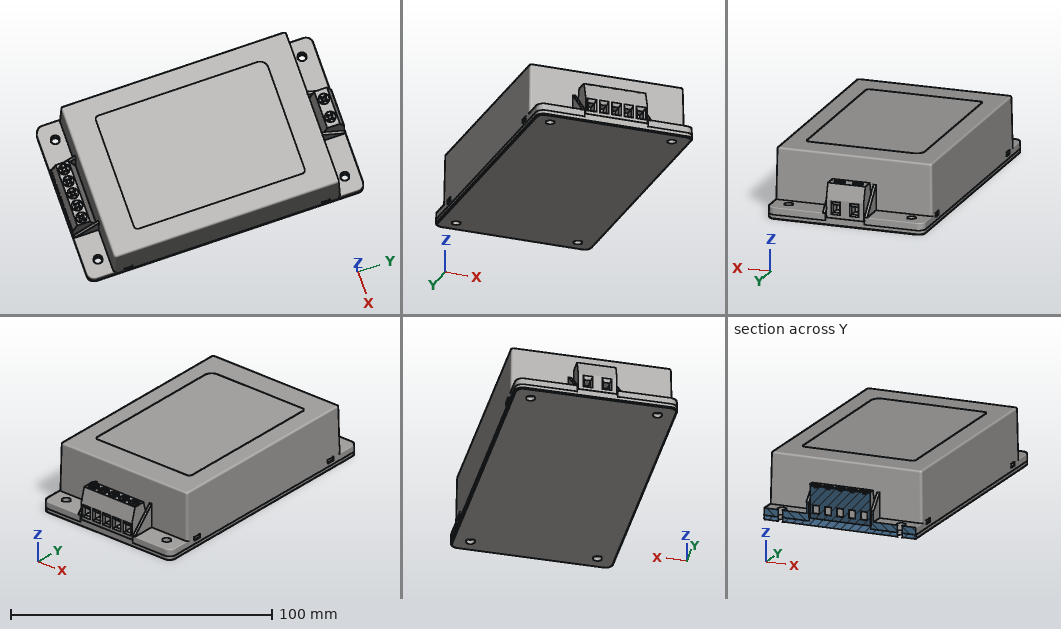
import cadquery as cq

LENGTH = 112.0
WIDTH = 63.8
HEIGHT = 25.6
CORNER_RADIUS = 3.0

BASE_THICKNESS = 1.9
PAD_TOP = 3.1
BASE_EDGE_CHAMFER = 0.5

FLANGE_TOP = 4.8
FLANGE_EDGE_RADIUS = 0.3
BOX_LENGTH = 92.1
COVER_DRAFT_DEG = 1.0
BOX_CORNER_RADIUS = 1.0
BOX_TOP_RADIUS = 0.8
MOUNT_HOLE_DIAMETER = 3.5
MOUNT_HOLE_SPACING_X = 50.0
MOUNT_HOLE_SPACING_Y = 100.0
RIB_THICKNESS = 1.1
RIB_OVERLAP = 1.1

LABEL_WIDTH = 47.3
LABEL_LENGTH = 69.2
LABEL_DEPTH = 0.1
LABEL_CENTER_Y = 0.1
LABEL_BIG_RADIUS = 3.4
LABEL_SMALL_RADIUS = 1.5

LATCH_WIDTH = 3.4
LATCH_BOTTOM = 3.4
LATCH_TOP = 4.9
LATCH_LIP_TOP = 3.7
LATCH_LIP_DEPTH = 0.2
LATCH_DEPTH = 1.0
LATCH_SPACING = 80.0

TERMINAL_CLEARANCE = 0.3
TERMINAL_INSET = 0.1
TERMINAL_TOP = 16.6
TERMINAL_FACE_TOP = 10.4
TERMINAL_TOP_FRONT = 1.8
TERMINAL_TOP_BACK = 7.0
SCREW_DIAMETER = 4.1
SCREW_RECESS = 0.5
DRIVE_WIDTH = 0.8
DRIVE_LENGTH = 2.7
DRIVE_DEPTH = 0.6
ENTRY_WIDTH = 3.8
ENTRY_BOTTOM = 4.6
ENTRY_TOP = 9.7
ENTRY_FUNNEL_DEPTH = 0.8
WIRE_HOLE_WIDTH = 2.6
WIRE_HOLE_BOTTOM = 5.2
WIRE_HOLE_TOP = 8.3
WIRE_HOLE_DEPTH = 4.5

FRONT_POLES = 5
FRONT_PITCH = 5.0
FRONT_BAY_WIDTH = 26.0
REAR_POLES = 2
REAR_PITCH = 7.5
REAR_BAY_WIDTH = 15.9

FLANGE_DEPTH = (LENGTH - BOX_LENGTH) / 2
TERMINAL_FACE_Y = TERMINAL_INSET - LENGTH / 2
BAYS = [(FRONT_BAY_WIDTH, 0), (REAR_BAY_WIDTH, 180)]


def block(width, depth, bottom, top, y_start):
    """Box centred on X that starts at y_start and runs toward +Y."""
    return (
        cq.Workplane("XY", origin=(0, y_start + depth / 2, bottom))
        .rect(width, depth)
        .extrude(top - bottom)
    )


def side_profile(points, width, center_x=0.0):
    """Extrude a closed (y, z) outline along X, centred on center_x."""
    return (
        cq.Workplane("YZ", origin=(center_x - width / 2, 0, 0))
        .polyline(points)
        .close()
        .extrude(width)
    )


def turned(body, angle):
    """Turn a body built at the -Y end about the Z axis."""
    return body.rotate((0, 0, 0), (0, 0, 1), angle)


def rounded_plate(bottom, top, draft=0.0):
    """Full-size plate with rounded corners and optionally drafted sides."""
    return (
        cq.Workplane("XY", origin=(0, 0, bottom))
        .rect(WIDTH, LENGTH)
        .extrude(top - bottom, taper=draft)
        .edges("not(#Z)")
        .fillet(CORNER_RADIUS)
    )


def mount_holes():
    return (
        cq.Workplane("XY")
        .rect(MOUNT_HOLE_SPACING_X, MOUNT_HOLE_SPACING_Y, forConstruction=True)
        .vertices()
        .circle(MOUNT_HOLE_DIAMETER / 2)
        .extrude(HEIGHT)
    )


def make_base():
    base = rounded_plate(0, BASE_THICKNESS)
    base = base.faces("<Z").edges().chamfer(BASE_EDGE_CHAMFER)
    for bay_width, angle in BAYS:
        pad = block(bay_width, FLANGE_DEPTH, BASE_THICKNESS, PAD_TOP, -LENGTH / 2)
        base = base.union(turned(pad, angle))
    return base.cut(mount_holes())


def drafted_flange():
    flange = rounded_plate(BASE_THICKNESS, FLANGE_TOP, COVER_DRAFT_DEG)
    return flange.faces(">Z").edges().fillet(FLANGE_EDGE_RADIUS)


def drafted_box():
    """Main box, whose long sides are flush with the flange sides."""
    return (
        cq.Workplane("XY", origin=(0, 0, BASE_THICKNESS))
        .rect(WIDTH, BOX_LENGTH)
        .extrude(HEIGHT - BASE_THICKNESS, taper=COVER_DRAFT_DEG)
        .edges("not(#Z)")
        .fillet(BOX_CORNER_RADIUS)
        .faces(">Z")
        .edges()
        .fillet(BOX_TOP_RADIUS)
    )


def rib(center_x):
    """Triangular gusset that slopes at 45 degrees from the flange end to the box wall."""
    outer_y = -LENGTH / 2
    inner_y = outer_y + FLANGE_DEPTH + RIB_OVERLAP
    points = [
        (outer_y, FLANGE_TOP),
        (inner_y, FLANGE_TOP),
        (inner_y, FLANGE_TOP + inner_y - outer_y),
    ]
    return side_profile(points, RIB_THICKNESS, center_x)


def label_recess():
    recess = (
        cq.Workplane("XY", origin=(0, LABEL_CENTER_Y, HEIGHT - LABEL_DEPTH))
        .rect(LABEL_WIDTH, LABEL_LENGTH)
        .extrude(LABEL_DEPTH)
    )
    recess = recess.edges("|Z and (>X or <Y)").fillet(LABEL_SMALL_RADIUS)
    return recess.edges("|Z and <X and >Y").fillet(LABEL_BIG_RADIUS)


def latch_pocket(center_y):
    """Pocket in the -X side with a sloping floor above a small upright lip."""
    wall = -WIDTH / 2
    points = [
        (wall, LATCH_BOTTOM),
        (wall, LATCH_TOP),
        (wall + LATCH_DEPTH, LATCH_TOP),
        (wall + LATCH_LIP_DEPTH, LATCH_LIP_TOP),
        (wall + LATCH_LIP_DEPTH, LATCH_BOTTOM),
    ]
    return (
        cq.Workplane("XZ", origin=(0, center_y + LATCH_WIDTH / 2, 0))
        .polyline(points)
        .close()
        .extrude(LATCH_WIDTH)
    )


def make_cover():
    cover = drafted_flange().union(drafted_box())
    for bay_width, angle in BAYS:
        bay = block(bay_width, FLANGE_DEPTH, BASE_THICKNESS, TERMINAL_TOP, -LENGTH / 2)
        cover = cover.cut(turned(bay, angle))
        for side in (-1, 1):
            gusset = rib(side * (bay_width + RIB_THICKNESS) / 2)
            cover = cover.union(turned(gusset, angle))
    for angle in (0, 180):
        for end in (-1, 1):
            pocket = latch_pocket(end * LATCH_SPACING / 2)
            cover = cover.cut(turned(pocket, angle))
    return cover.cut(label_recess()).cut(mount_holes())


def screw_cut(center_x):
    """Round screw recess with a diagonal cross drive in its floor."""
    center_y = TERMINAL_FACE_Y + (TERMINAL_TOP_FRONT + TERMINAL_TOP_BACK) / 2
    floor = TERMINAL_TOP - SCREW_RECESS
    cut = (
        cq.Workplane("XY", origin=(center_x, center_y, floor))
        .circle(SCREW_DIAMETER / 2)
        .extrude(SCREW_RECESS)
    )
    for angle in (45, 135):
        slot = (
            cq.Workplane("XY", origin=(center_x, center_y, floor - DRIVE_DEPTH))
            .transformed(rotate=(0, 0, angle))
            .rect(DRIVE_LENGTH, DRIVE_WIDTH)
            .extrude(DRIVE_DEPTH)
        )
        cut = cut.union(slot)
    return cut


def wire_entry(center_x):
    """Tapered funnel in the outer face that leads into a rectangular wire hole."""
    outer_center = (ENTRY_BOTTOM + ENTRY_TOP) / 2
    hole_center = (WIRE_HOLE_BOTTOM + WIRE_HOLE_TOP) / 2
    hole_height = WIRE_HOLE_TOP - WIRE_HOLE_BOTTOM
    face_y = TERMINAL_FACE_Y
    funnel = (
        cq.Workplane("XZ", origin=(center_x, face_y, outer_center))
        .rect(ENTRY_WIDTH, ENTRY_TOP - ENTRY_BOTTOM)
        .workplane(offset=-ENTRY_FUNNEL_DEPTH)
        .center(0, hole_center - outer_center)
        .rect(WIRE_HOLE_WIDTH, hole_height)
        .loft()
    )
    hole = (
        cq.Workplane("XZ", origin=(center_x, face_y + ENTRY_FUNNEL_DEPTH, hole_center))
        .rect(WIRE_HOLE_WIDTH, hole_height)
        .extrude(ENTRY_FUNNEL_DEPTH - WIRE_HOLE_DEPTH)
    )
    return funnel.union(hole)


def make_terminal(poles, pitch, bay_width, angle):
    face_y = TERMINAL_FACE_Y
    back_y = -BOX_LENGTH / 2
    points = [
        (face_y, PAD_TOP),
        (face_y, TERMINAL_FACE_TOP),
        (face_y + TERMINAL_TOP_FRONT, TERMINAL_TOP),
        (face_y + TERMINAL_TOP_BACK, TERMINAL_TOP),
        (back_y, FLANGE_TOP),
        (back_y, PAD_TOP),
    ]
    terminal = side_profile(points, bay_width - 2 * TERMINAL_CLEARANCE)
    for pole in range(poles):
        center_x = (pole - (poles - 1) / 2) * pitch
        terminal = terminal.cut(screw_cut(center_x)).cut(wire_entry(center_x))
    return turned(terminal, angle)


base = make_base()
cover = make_cover()
front_terminal = make_terminal(FRONT_POLES, FRONT_PITCH, FRONT_BAY_WIDTH, 0)
rear_terminal = make_terminal(REAR_POLES, REAR_PITCH, REAR_BAY_WIDTH, 180)

result = cq.Compound.makeCompound(
    [base.val(), cover.val(), front_terminal.val(), rear_terminal.val()]
)